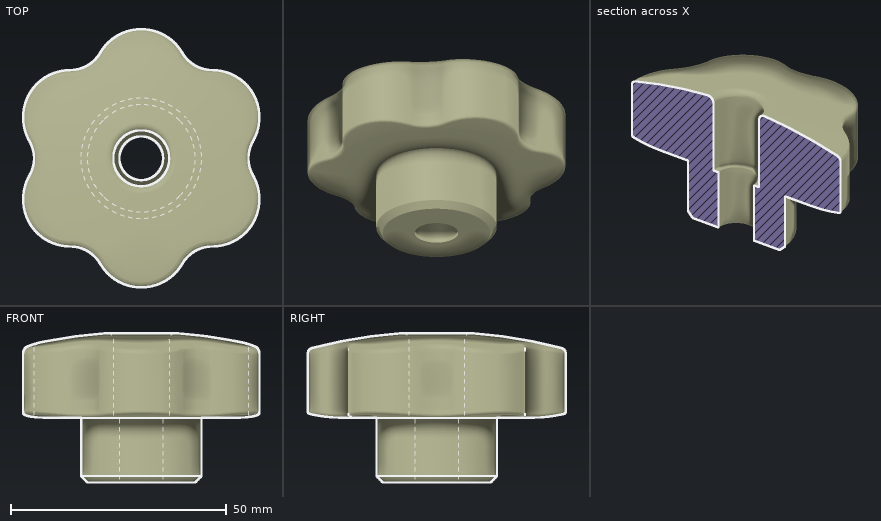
import cadquery as cq
import math

lobe_count = 6
knob_radius = 30.0
lobe_radius = 11.0
valley_radius = 8.0
total_height = 35.0
crown_radius = 114.0
head_base_height = 15.0
underside_flat_radius = 21.5
underside_radius = 36.0
top_rim_fillet = 1.5
bottom_rim_fillet = 0.7
hub_diameter = 28.0
hub_chamfer = 1.5
bore_diameter = 13.0
bore_mouth_fillet = 1.5
bore_floor_height = head_base_height
core_hole_diameter = 10.11

lobe_pitch = 360.0 / lobe_count
lobe_centre_distance = knob_radius - lobe_radius
half_pitch = lobe_pitch / 2
half_pitch_radians = math.radians(half_pitch)
valley_centre_distance = lobe_centre_distance * math.cos(half_pitch_radians) + math.sqrt(
    (lobe_radius + valley_radius) ** 2 - (lobe_centre_distance * math.sin(half_pitch_radians)) ** 2
)
valley_floor_distance = valley_centre_distance - valley_radius


def polar(distance, angle_degrees):
    """Point at a distance and angle from the knob axis."""
    angle = math.radians(angle_degrees)
    return (distance * math.cos(angle), distance * math.sin(angle))


def tangent_point(lobe_angle, valley_angle):
    """Point where a lobe arc passes smoothly into a neighbouring valley arc."""
    lobe_x, lobe_y = polar(lobe_centre_distance, lobe_angle)
    valley_x, valley_y = polar(valley_centre_distance, valley_angle)
    share = lobe_radius / (lobe_radius + valley_radius)
    return (lobe_x + share * (valley_x - lobe_x), lobe_y + share * (valley_y - lobe_y))


def lobed_prism():
    """Full-height prism with the wavy outline; one lobe points along +Y."""
    first_lobe_angle = 90.0
    outline = cq.Workplane("XY").moveTo(*tangent_point(first_lobe_angle, first_lobe_angle - half_pitch))
    for index in range(lobe_count):
        lobe_angle = first_lobe_angle + index * lobe_pitch
        valley_angle = lobe_angle + half_pitch
        next_lobe_angle = lobe_angle + lobe_pitch
        outline = outline.threePointArc(
            polar(knob_radius, lobe_angle), tangent_point(lobe_angle, valley_angle)
        )
        outline = outline.threePointArc(
            polar(valley_floor_distance, valley_angle), tangent_point(next_lobe_angle, valley_angle)
        )
    return outline.close().extrude(total_height)


def crowned_disc():
    """Round disc, wider than the lobes, with the domed top and the lifted underside."""
    edge_margin = 1.0
    disc_radius = knob_radius + edge_margin

    def crown_height(radius):
        return total_height - crown_radius + math.sqrt(crown_radius**2 - radius**2)

    def underside_height(radius):
        run = radius - underside_flat_radius
        return head_base_height + underside_radius - math.sqrt(underside_radius**2 - run**2)

    underside_middle = (underside_flat_radius + disc_radius) / 2
    profile = (
        cq.Workplane("XZ")
        .moveTo(0, head_base_height)
        .lineTo(underside_flat_radius, head_base_height)
        .threePointArc(
            (underside_middle, underside_height(underside_middle)),
            (disc_radius, underside_height(disc_radius)),
        )
        .lineTo(disc_radius, crown_height(disc_radius))
        .threePointArc((disc_radius / 2, crown_height(disc_radius / 2)), (0, total_height))
        .close()
    )
    disc = profile.revolve(360, (0, 0, 0), (0, 1, 0))
    seam_x, seam_y = tangent_point(half_pitch, 0)
    seam_angle = math.degrees(math.atan2(seam_y, seam_x))
    return disc.rotate((0, 0, 0), (0, 0, 1), seam_angle)


def head():
    """Lobed head with rounded top and bottom rims."""
    body = lobed_prism().intersect(crowned_disc())
    rim_margin = 1.0
    rim_inner_radius = valley_floor_distance - rim_margin
    level_tolerance = 0.01
    middle_height = (head_base_height + total_height) / 2

    def rim_edges(on_top):
        """Outline edges of the top or bottom face; both ends of each lie at one height."""
        chosen = []
        for edge in body.edges().vals():
            ends = [edge.startPoint(), edge.endPoint()]
            at_rim = all(math.hypot(end.x, end.y) > rim_inner_radius for end in ends)
            level = abs(ends[0].z - ends[1].z) < level_tolerance
            if at_rim and level and (edge.Center().z > middle_height) == on_top:
                chosen.append(edge)
        return chosen

    body = body.newObject(rim_edges(True)).fillet(top_rim_fillet)
    return body.newObject(rim_edges(False)).fillet(bottom_rim_fillet)


def hub():
    """Chamfered cylinder under the head, reaching a little way into it."""
    overlap = 2.0
    cylinder = cq.Workplane("XY").circle(hub_diameter / 2).extrude(head_base_height + overlap)
    return cylinder.faces("<Z").chamfer(hub_chamfer)


def bore_knob(body):
    """Cut the wide bore from the top, round its mouth, then run the core hole through."""
    wide_bore = (
        cq.Workplane("XY")
        .workplane(offset=bore_floor_height)
        .circle(bore_diameter / 2)
        .extrude(total_height - bore_floor_height)
    )
    body = body.cut(wide_bore)
    mouth_depth = 1.0
    mouth_region = cq.selectors.BoxSelector(
        (-bore_diameter, -bore_diameter, total_height - mouth_depth),
        (bore_diameter, bore_diameter, total_height),
    )
    body = body.edges(mouth_region).fillet(bore_mouth_fillet)
    core_hole = cq.Workplane("XY").circle(core_hole_diameter / 2).extrude(total_height)
    return body.cut(core_hole)


result = bore_knob(head().union(hub()))